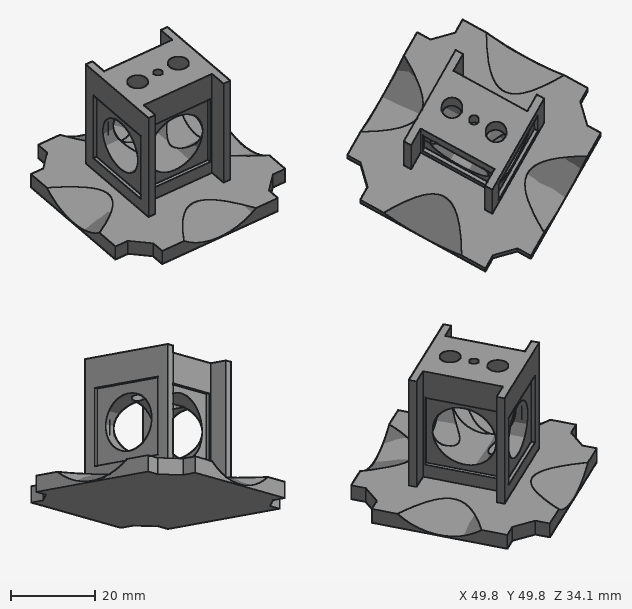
import cadquery as cq

base_side = 49.8
base_height = 4.0
corner_notch = 7.9
corner_tab = 3.65

tower_height = 30.05
tower_width = 25.2
tower_depth = 24.0
flange_thickness = 2.0
web_width = 15.95

bore_axis_z = base_height + 13.05
front_bore_diameter = 14.0
side_bore_diameter = 15.95
recess_side = 19.0
recess_depth = 0.95

roof_hole_diameter = 5.0
roof_hole_offset = 6.0
centre_hole_diameter = 2.3

scoop_radius = 16.8
scoop_reach = 10.35

half_side = base_side / 2


def make_base():
    """Square plate with a stepped, bevelled notch at each corner."""
    plate = cq.Workplane("XY").rect(base_side, base_side).extrude(base_height)
    notch_edge = half_side - corner_notch
    tab_edge = half_side - corner_tab
    notch = (
        cq.Workplane("XY")
        .moveTo(half_side, half_side)
        .lineTo(notch_edge, half_side)
        .lineTo(notch_edge, tab_edge)
        .lineTo(tab_edge, notch_edge)
        .lineTo(half_side, notch_edge)
        .close()
        .extrude(base_height)
    )
    for angle in range(0, 360, 90):
        plate = plate.cut(notch.rotate((0, 0, 0), (0, 0, 1), angle))
    return plate


def make_scoop():
    """Cone narrowing inward from the +X edge, its flank meeting the plate top at scoop_reach."""
    radius_at_reach = bore_axis_z - base_height
    cone_length = scoop_radius * scoop_reach / (scoop_radius - radius_at_reach)
    return (
        cq.Workplane("XZ")
        .moveTo(half_side, bore_axis_z)
        .lineTo(half_side, bore_axis_z - scoop_radius)
        .lineTo(half_side - cone_length, bore_axis_z)
        .close()
        .revolve(360, (half_side, bore_axis_z), (half_side - cone_length, bore_axis_z))
    )


def make_tower():
    """Central web between two wider end flanges."""
    top_of_base = cq.Workplane("XY").workplane(offset=base_height)
    tower = top_of_base.rect(web_width, tower_depth).extrude(tower_height)
    flange_y = (tower_depth - flange_thickness) / 2
    flanges = (
        top_of_base.pushPoints([(0, -flange_y), (0, flange_y)])
        .rect(tower_width, flange_thickness)
        .extrude(tower_height)
    )
    return tower.union(flanges)


def cut_bore(body, plane, diameter, span):
    """Through bore normal to the plane, with a square recess in both faces spaced by span."""
    bore_axis = cq.Workplane(plane, origin=(0, 0, bore_axis_z))
    body = body.cut(bore_axis.circle(diameter / 2).extrude(span / 2, both=True))
    for floor in (span / 2 - recess_depth, -span / 2):
        recess = bore_axis.workplane(offset=floor).rect(recess_side, recess_side).extrude(recess_depth)
        body = body.cut(recess)
    return body


def cut_roof_holes(body):
    """Row of three vertical holes from the tower top into the bores."""
    roof_top = base_height + tower_height
    hole_depth = roof_top - bore_axis_z
    holes = (
        (-roof_hole_offset, roof_hole_diameter),
        (0, centre_hole_diameter),
        (roof_hole_offset, roof_hole_diameter),
    )
    for y, diameter in holes:
        hole = cq.Workplane("XY", origin=(0, y, roof_top)).circle(diameter / 2).extrude(-hole_depth)
        body = body.cut(hole)
    return body


base = make_base()
scoop = make_scoop()
for angle in range(0, 360, 90):
    base = base.cut(scoop.rotate((0, 0, 0), (0, 0, 1), angle))

tower = make_tower()
tower = cut_bore(tower, "XZ", front_bore_diameter, tower_depth)
tower = cut_bore(tower, "YZ", side_bore_diameter, web_width)
tower = cut_roof_holes(tower)

result = base.union(tower)